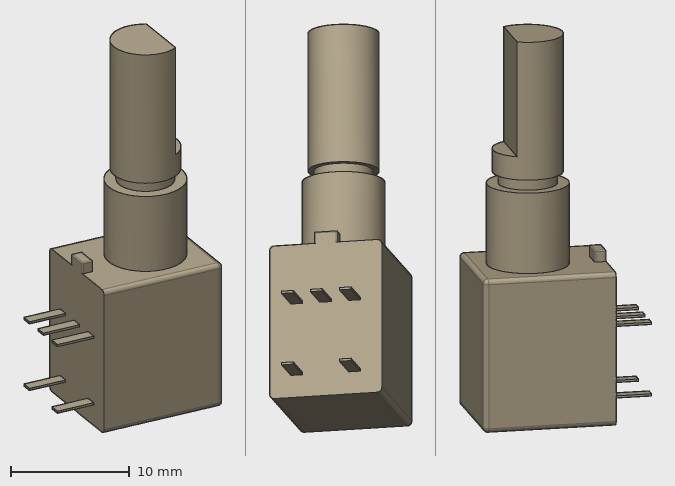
import cadquery as cq

WIDTH = 9.7
HEIGHT = 13.32
BACK_Y = WIDTH / 2
DEPTH = 11.4
FRONT_Y = BACK_Y - DEPTH
EDGE_RADIUS = 0.4

BUSHING_DIAMETER = 7.0
BUSHING_HEIGHT = 7.0
BUSHING_TOP = HEIGHT + BUSHING_HEIGHT

TAB_WIDTH = 2.0
TAB_DEPTH = 1.0
TAB_HEIGHT = 1.0
TAB_EDGE_RADIUS = 0.1

TOTAL_HEIGHT = 33.3
SHAFT_DIAMETER = 6.0
NECK_DIAMETER = 5.0
NECK_LENGTH = 1.0
SHAFT_BOTTOM = BUSHING_TOP + NECK_LENGTH
FLAT_LENGTH = 10.0
FLAT_Y = SHAFT_DIAMETER / 4

PIN_WIDTH = 1.0
PIN_THICKNESS = 0.2
PIN_LENGTH = 3.45
PIN_PITCH = 2.5
UPPER_ROW_Z = 8.25
LOWER_ROW_Z = 2.03
PIN_PLACES = [
    (-PIN_PITCH, UPPER_ROW_Z),
    (0, UPPER_ROW_Z),
    (PIN_PITCH, UPPER_ROW_Z),
    (-PIN_PITCH, LOWER_ROW_Z),
    (PIN_PITCH, LOWER_ROW_Z),
]


def make_housing():
    """Block with every edge rounded except those of the front face, plus bushing and tab."""
    block = (
        cq.Workplane("XY")
        .box(WIDTH, DEPTH, HEIGHT, centered=(True, False, False))
        .translate((0, FRONT_Y, 0))
        .edges("not <Y")
        .fillet(EDGE_RADIUS)
    )
    bushing = (
        cq.Workplane("XY")
        .workplane(offset=HEIGHT)
        .circle(BUSHING_DIAMETER / 2)
        .extrude(BUSHING_HEIGHT)
    )
    tab = (
        cq.Workplane("XY")
        .box(TAB_WIDTH, TAB_DEPTH, EDGE_RADIUS + TAB_HEIGHT, centered=(True, False, False))
        .translate((0, FRONT_Y, HEIGHT - EDGE_RADIUS))
        .edges("|Z or >Z")
        .fillet(TAB_EDGE_RADIUS)
    )
    return block.union(bushing).union(tab)


def make_shaft():
    """Neck resting on the bushing, round shaft above it, flat cut on the back of the upper end."""
    shaft = (
        cq.Workplane("XY")
        .workplane(offset=BUSHING_TOP)
        .circle(NECK_DIAMETER / 2)
        .extrude(NECK_LENGTH)
        .faces(">Z")
        .workplane()
        .circle(SHAFT_DIAMETER / 2)
        .extrude(TOTAL_HEIGHT - SHAFT_BOTTOM)
    )
    flat_cut = (
        cq.Workplane("XY")
        .box(SHAFT_DIAMETER, SHAFT_DIAMETER, FLAT_LENGTH, centered=(True, False, False))
        .translate((0, FLAT_Y, TOTAL_HEIGHT - FLAT_LENGTH))
    )
    return shaft.cut(flat_cut)


def make_pin(x, z):
    """Flat strip standing out from the front face, centred on (x, z)."""
    return (
        cq.Workplane("XY")
        .box(PIN_WIDTH, PIN_LENGTH, PIN_THICKNESS)
        .translate((x, FRONT_Y - PIN_LENGTH / 2, z))
    )


housing = make_housing()
shaft = make_shaft()
pins = [make_pin(x, z) for x, z in PIN_PLACES]

result = cq.Compound.makeCompound([housing.val(), shaft.val(), *[pin.val() for pin in pins]])